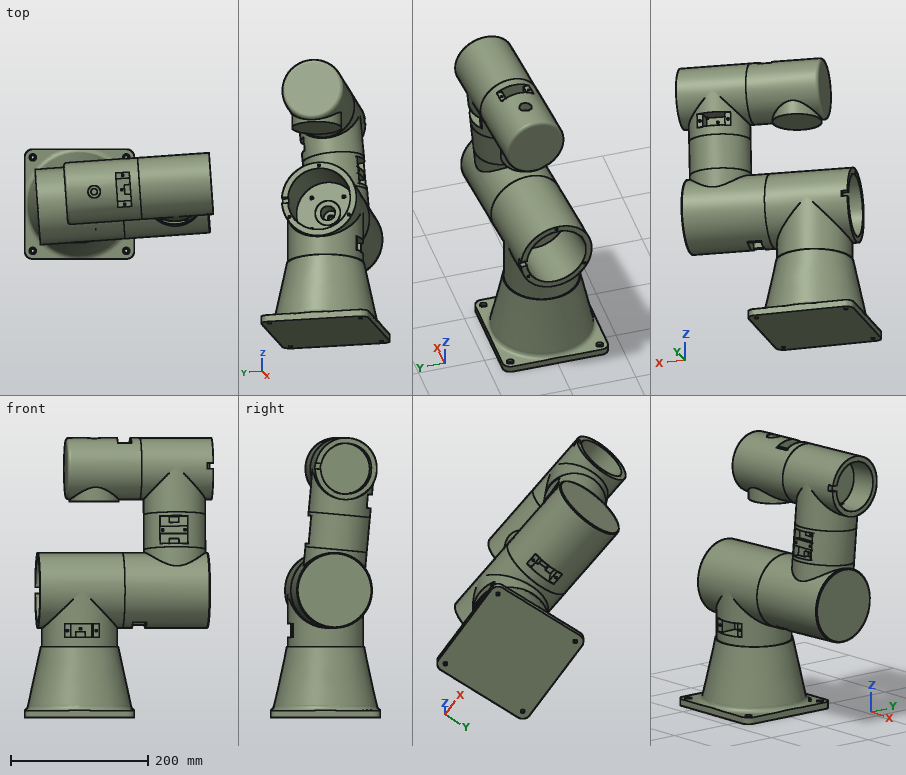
import cadquery as cq
import math

YAW = 4.05
LEAN = 5.3
SHOULDER_Z = 185.0
LINK_LENGTH = 177.8

PLATE_SIZE = 160.0
PLATE_THICKNESS = 10.0
PLATE_CORNER_RADIUS = 12.0
BOLT_SPACING = 136.0
BOLT_DIAMETER = 5.5
BOLT_HEAD_DIAMETER = 10.0
BOLT_HEAD_DEPTH = 5.0
CONE_TOP_Z = 103.0
CONE_TOP_RADIUS = 56.5
CONE_FOOT_RADIUS = 75.0
FOOT_FLARE = 8.0

LARGE_RADIUS = 55.0
SMALL_RADIUS = 45.0
LARGE_BORE_RADIUS = 46.0
SMALL_BORE_RADIUS = 37.0
LARGE_BORE_DEPTH = 82.0
SMALL_BORE_DEPTH = 40.0
SLOT_WIDTH = 8.5
SLOT_DEPTH = 9.0

SHOULDER_OPEN_END = -61.0
SHOULDER_JOINT = 62.5
UPPER_ARM_END = 187.0
LINK_STATION = 139.2
WRIST_JOINT = 89.0
ELBOW_END = 193.4
WRIST_END = -19.0

UPPER_ARM_CHAMFER = 1.5

HUB_RING_RADIUS = 18.5
HUB_RING_DEPTH = 1.0
HUB_RECESS_RADIUS = 10.7
HUB_RECESS_DEPTH = 30.0
HUB_HOLE_RADIUS = 4.6
HUB_HOLE_DEPTH = 40.0
HUB_BOLT_SPACING = 47.2
HUB_BOLT_RADIUS = 2.3
HUB_BOLT_DEPTH = 8.0
RIM_HOLE_COUNT = 3
RIM_HOLE_RADIUS = 1.7
RIM_HOLE_DEPTH = 8.0

LINK_LOWER_JOINT = 59.5
LINK_UPPER_JOINT = 110.5

WINDOW_LENGTH = 20.0
WINDOW_WIDTH = 50.0
WINDOW_OFFSET = 13.5
WINDOW_TAB = 8.5
WINDOW_WELL_DEPTH = 26.0
SCREW_RADIUS = 1.5
SCREW_DEPTH = 6.0
SCREW_EDGE_GAP = 4.0
FLOOR_SCREW_SHIFT = 2.5
CABLE_HOLE_WIDTH = 14.0
CABLE_HOLE_LENGTH = 8.6
CABLE_HOLE_DEPTH = 8.0
CABLE_HOLE_CORNER = 2.0

PORT_SIZE = 40.5
PORT_WELL_DEPTH = 9.0
PORT_BAR = 10.5
PORT_TURN = -5.5

WRIST_EDGE_RADIUS = 5.0
OUTLET_STATION = 22.5
OUTLET_RADIUS = 36.0
OUTLET_REACH = 48.0
TOP_HOLE_RADIUS = 9.0
TOP_HOLE_DEPTH = 14.0
TOP_PILOT_RADIUS = 4.6
TOP_PILOT_DEPTH = 25.0


def tube(radius, start, end):
    """Solid cylinder along X between two stations."""
    return cq.Workplane("YZ").workplane(offset=start).circle(radius).extrude(end - start)


def post(radius, bottom, top):
    """Solid cylinder along Z between two heights."""
    return cq.Workplane("XY").workplane(offset=bottom).circle(radius).extrude(top - bottom)


def chord_height(radius, width):
    """Distance from the axis of a cylinder to a chord of the given width."""
    return math.sqrt(radius**2 - (width / 2)**2)


def sunk_box(width, height, surface, depth, x=0.0, z=0.0):
    """Cutter sunk in the +Y direction, with its mouth at y = -surface."""
    return cq.Workplane("XY").box(width, depth, height).translate((x, depth / 2 - surface, z))


def sunk_hole(radius, surface, depth, x=0.0, z=0.0):
    """Round cutter sunk in the +Y direction, with its mouth at y = -surface."""
    return cq.Workplane("XZ", origin=(x, -surface, z)).circle(radius).extrude(-depth)


def cable_hole(surface, wall):
    """Round-cornered cutter in a floor, against the wall at height `wall` (negative: a lower wall)."""
    middle = math.copysign(abs(wall) - CABLE_HOLE_LENGTH / 2, wall)
    hole = sunk_box(CABLE_HOLE_WIDTH, CABLE_HOLE_LENGTH, surface, CABLE_HOLE_DEPTH, z=middle)
    away_from_wall = "<Z" if wall > 0 else ">Z"
    return hole.faces(away_from_wall).edges("|Y").fillet(CABLE_HOLE_CORNER)


def service_window(radius):
    """Cutter for a window in the -Y side of a Z cylinder, centred at z = 0, with the joint below it."""
    tab = chord_height(radius, WINDOW_WIDTH)
    floor = tab - WINDOW_WELL_DEPTH
    cutter = sunk_box(WINDOW_WIDTH, WINDOW_LENGTH, radius, radius - tab)
    well_width = WINDOW_WIDTH - 2 * WINDOW_TAB
    cutter = cutter.union(sunk_box(well_width, WINDOW_LENGTH, radius, radius - floor))
    screw_x = WINDOW_WIDTH / 2 - SCREW_EDGE_GAP
    for x in (-screw_x, screw_x):
        cutter = cutter.union(sunk_hole(SCREW_RADIUS, tab, SCREW_DEPTH, x))
    cutter = cutter.union(sunk_hole(SCREW_RADIUS, floor, SCREW_DEPTH, z=FLOOR_SCREW_SHIFT))
    return cutter.union(cable_hole(floor, -WINDOW_LENGTH / 2))


def link_port(radius):
    """Cutter for the square port in the -Y side of a Z cylinder, centred at z = 0."""
    bar_face = chord_height(radius, PORT_SIZE)
    floor = bar_face - PORT_WELL_DEPTH
    cutter = sunk_box(PORT_SIZE, PORT_SIZE, radius, radius - bar_face)
    well_height = (PORT_SIZE - PORT_BAR) / 2
    for side in (-1, 1):
        well_z = side * (PORT_BAR + well_height) / 2
        cutter = cutter.union(sunk_box(PORT_SIZE, well_height, radius, radius - floor, z=well_z))
        cutter = cutter.union(cable_hole(floor, side * PORT_SIZE / 2))
        screw_x = side * (PORT_SIZE / 2 - SCREW_EDGE_GAP)
        cutter = cutter.union(sunk_hole(SCREW_RADIUS, bar_face, SCREW_DEPTH, screw_x))
    return cutter


def tee(radius, start, end, branch_x, branch_bottom):
    """Tube along X with an equal branch going down."""
    branch = post(radius, branch_bottom, 0).translate((branch_x, 0, 0))
    return tube(radius, start, end).union(branch)


def lean(body):
    """Tip a body about the shoulder axis."""
    return body.rotate((0, 0, 0), (1, 0, 0), -LEAN)


def place(body):
    """Turn a body about the base axis and lift it to the shoulder axis."""
    return body.translate((0, 0, SHOULDER_Z)).rotate((0, 0, 0), (0, 0, 1), YAW)


def make_base():
    plate = (
        cq.Workplane("XY")
        .rect(PLATE_SIZE, PLATE_SIZE)
        .extrude(CONE_TOP_Z)
        .edges("|Z")
        .fillet(PLATE_CORNER_RADIUS)
    )
    foot_z = PLATE_THICKNESS + FOOT_FLARE
    flare_radius = CONE_FOOT_RADIUS + FOOT_FLARE
    mid = FOOT_FLARE * (1 - math.sqrt(0.5))
    profile = (
        cq.Workplane("XZ")
        .moveTo(0, 0)
        .lineTo(PLATE_SIZE, 0)
        .lineTo(PLATE_SIZE, PLATE_THICKNESS)
        .lineTo(flare_radius, PLATE_THICKNESS)
        .threePointArc((CONE_FOOT_RADIUS + mid, PLATE_THICKNESS + mid), (CONE_FOOT_RADIUS, foot_z))
        .lineTo(CONE_TOP_RADIUS, CONE_TOP_Z)
        .lineTo(0, CONE_TOP_Z)
        .close()
        .revolve(360, (0, 0), (0, 1))
    )
    return (
        plate.intersect(profile)
        .copyWorkplane(cq.Workplane("XY", origin=(0, 0, PLATE_THICKNESS)))
        .rect(BOLT_SPACING, BOLT_SPACING, forConstruction=True)
        .vertices()
        .cboreHole(BOLT_DIAMETER, BOLT_HEAD_DIAMETER, BOLT_HEAD_DEPTH)
    )


def cut_shoulder_hub(body):
    """Add the bore of the shoulder, its hub and the screw holes in its rim."""
    floor_x = SHOULDER_OPEN_END + LARGE_BORE_DEPTH
    body = body.cut(tube(LARGE_BORE_RADIUS, SHOULDER_OPEN_END, floor_x))
    body = body.cut(tube(HUB_RING_RADIUS, floor_x, floor_x + HUB_RING_DEPTH))
    body = body.cut(tube(HUB_RECESS_RADIUS, floor_x, floor_x + HUB_RECESS_DEPTH))
    body = body.cut(tube(HUB_HOLE_RADIUS, floor_x, floor_x + HUB_HOLE_DEPTH))
    bolts = (
        cq.Workplane("YZ", origin=(floor_x, 0, 0))
        .rect(HUB_BOLT_SPACING, HUB_BOLT_SPACING, forConstruction=True)
        .vertices()
        .circle(HUB_BOLT_RADIUS)
        .extrude(HUB_BOLT_DEPTH)
    )
    rim_holes = (
        cq.Workplane("YZ", origin=(SHOULDER_OPEN_END, 0, 0))
        .polarArray((LARGE_RADIUS + LARGE_BORE_RADIUS) / 2, 90, 360, RIM_HOLE_COUNT)
        .circle(RIM_HOLE_RADIUS)
        .extrude(RIM_HOLE_DEPTH)
    )
    return body.cut(bolts).cut(rim_holes)


def make_shoulder():
    bottom = CONE_TOP_Z - SHOULDER_Z
    body = tee(LARGE_RADIUS, SHOULDER_OPEN_END, SHOULDER_JOINT, 0, bottom)
    body = cut_shoulder_hub(body)
    slot = cq.Workplane("XY").box(SLOT_DEPTH, LARGE_RADIUS, SLOT_WIDTH)
    body = body.cut(slot.translate((SHOULDER_OPEN_END + SLOT_DEPTH / 2, LARGE_RADIUS, 0)))
    window_z = bottom + WINDOW_OFFSET + WINDOW_LENGTH / 2
    return place(body.cut(service_window(LARGE_RADIUS).translate((0, 0, window_z))))


def make_upper_arm():
    body = tube(LARGE_RADIUS, SHOULDER_JOINT, UPPER_ARM_END).faces(">X").edges().chamfer(UPPER_ARM_CHAMFER)
    body = body.union(post(SMALL_RADIUS, 0, LINK_LOWER_JOINT).translate((LINK_STATION, 0, 0)))
    window = service_window(LARGE_RADIUS).rotate((0, 0, 0), (0, 1, 0), 90).rotate((0, 0, 0), (1, 0, 0), 90)
    window_x = SHOULDER_JOINT + WINDOW_OFFSET + WINDOW_LENGTH / 2
    return place(lean(body.cut(window.translate((window_x, 0, 0)))))


def make_link():
    body = post(SMALL_RADIUS, LINK_LOWER_JOINT, LINK_UPPER_JOINT)
    middle = (LINK_LOWER_JOINT + LINK_UPPER_JOINT) / 2
    port = link_port(SMALL_RADIUS).rotate((0, 0, 0), (0, 0, 1), PORT_TURN)
    body = body.cut(port.translate((0, 0, middle)))
    return place(lean(body.translate((LINK_STATION, 0, 0))))


def make_elbow():
    neck_bottom = LINK_UPPER_JOINT - LINK_LENGTH
    body = tee(SMALL_RADIUS, WRIST_JOINT, ELBOW_END, LINK_STATION, neck_bottom)
    body = body.cut(tube(SMALL_BORE_RADIUS, ELBOW_END - SMALL_BORE_DEPTH, ELBOW_END))
    slot = cq.Workplane("XY").box(SLOT_DEPTH, SMALL_RADIUS, SLOT_WIDTH)
    body = body.cut(slot.translate((ELBOW_END - SLOT_DEPTH / 2, -SMALL_RADIUS, 0)))
    window = service_window(SMALL_RADIUS).rotate((0, 0, 0), (0, 0, 1), 180)
    window_z = neck_bottom + WINDOW_OFFSET + WINDOW_LENGTH / 2
    body = body.cut(window.translate((LINK_STATION, 0, window_z)))
    return place(lean(body.translate((0, 0, LINK_LENGTH))))


def make_wrist():
    body = tube(SMALL_RADIUS, WRIST_END, WRIST_JOINT).faces("<X").edges().fillet(WRIST_EDGE_RADIUS)
    body = body.union(post(OUTLET_RADIUS, -OUTLET_REACH, 0).translate((OUTLET_STATION, 0, 0)))
    window = service_window(SMALL_RADIUS).rotate((0, 0, 0), (0, 1, 0), -90).rotate((0, 0, 0), (1, 0, 0), -90)
    window_x = WRIST_JOINT - WINDOW_OFFSET - WINDOW_LENGTH / 2
    body = body.cut(window.translate((window_x, 0, 0)))
    for radius, depth in ((TOP_HOLE_RADIUS, TOP_HOLE_DEPTH), (TOP_PILOT_RADIUS, TOP_PILOT_DEPTH)):
        body = body.cut(post(radius, SMALL_RADIUS - depth, SMALL_RADIUS).translate((OUTLET_STATION, 0, 0)))
    tilt = math.radians(LEAN)
    return place(body.translate((0, LINK_LENGTH * math.sin(tilt), LINK_LENGTH * math.cos(tilt))))


base = make_base()
shoulder = make_shoulder()
upper_arm = make_upper_arm()
link = make_link()
elbow = make_elbow()
wrist = make_wrist()

result = cq.Compound.makeCompound(
    [base.val(), shoulder.val(), upper_arm.val(), link.val(), elbow.val(), wrist.val()]
)